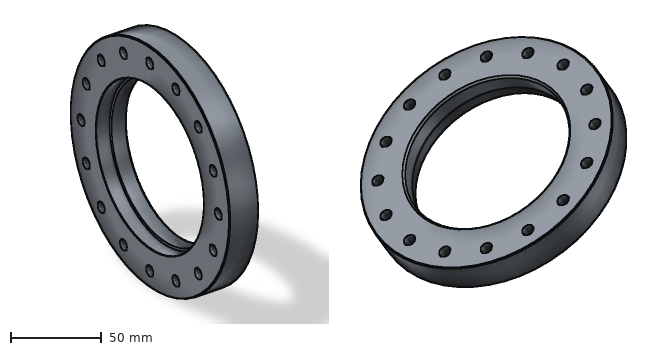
import cadquery as cq

outer_diameter = 151.6
thickness = 19.9
rim_chamfer = 0.6

bore_diameter = 98.5
recess_diameter = 102.2
recess_depth = 9.2
recess_chamfer = 0.3
bore_chamfer = 1.2

bolt_count = 16
bolt_circle_diameter = 130.4
bolt_hole_diameter = 6.8

front_y = -thickness / 2


def cylinder(diameter, start_y, length):
    """Cylinder on the Y axis, running from start_y toward +Y."""
    plane = cq.Workplane(cq.Plane(origin=(0, start_y, 0), xDir=(1, 0, 0), normal=(0, 1, 0)))
    return plane.circle(diameter / 2).extrude(length)


def bolt_holes():
    """Evenly spaced through holes, one of them on the X axis."""
    plane = cq.Workplane(cq.Plane(origin=(0, front_y, 0), xDir=(1, 0, 0), normal=(0, 1, 0)))
    centers = plane.polarArray(bolt_circle_diameter / 2, 0, 360, bolt_count)
    return centers.circle(bolt_hole_diameter / 2).extrude(thickness)


disc = cylinder(outer_diameter, front_y, thickness).faces("<Y or >Y").chamfer(rim_chamfer)
bored = disc.cut(cylinder(bore_diameter, front_y, thickness))
recessed = bored.cut(cylinder(recess_diameter, front_y, recess_depth))

inner_edge = cq.selectors.RadiusNthSelector(0)
recessed = recessed.faces("<Y").edges(inner_edge).chamfer(recess_chamfer)
recessed = recessed.faces(">Y").edges(inner_edge).chamfer(bore_chamfer)

result = recessed.cut(bolt_holes())